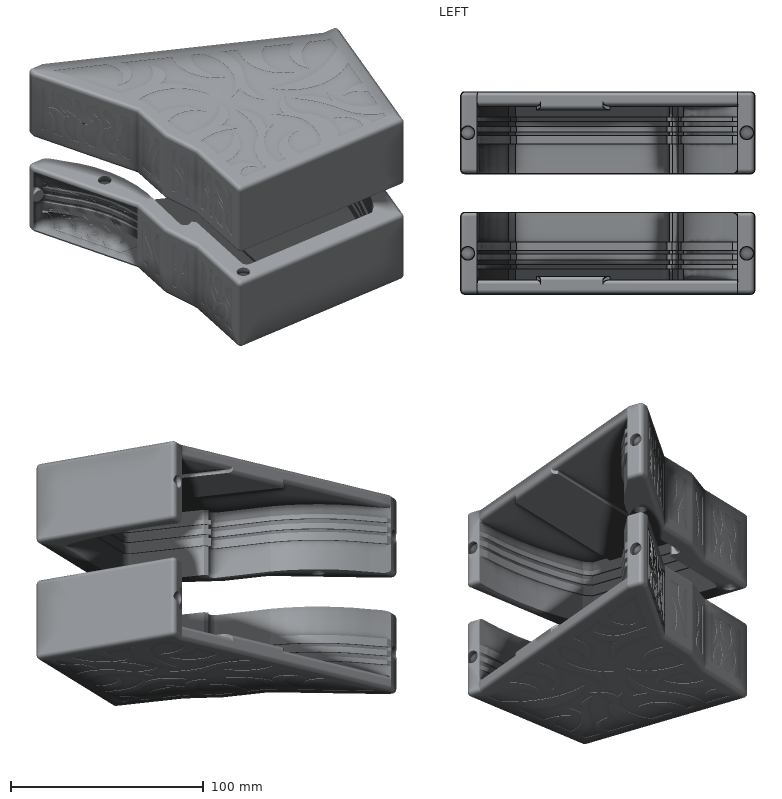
import cadquery as cq
import math


HALF_HEIGHT = 42.5
GAP = 20.0
EDGE_RADIUS = 2.25
FLOOR_THICKNESS = 7.5

WIDTH = 145.85
END_LENGTH = 9.0
BACK_LEFT_X = 60.5
BACK_LEFT_Y = 152.98
BACK_RIGHT_Y = 137.0
FRONT_RIGHT_Y = 33.3
FRONT_MIDDLE_Y = 27.4
TOE_LENGTH = 5.2
SLANT_END_X = 60.6
STEP_START_X = 85.8
STEP_END_X = 106.0

OPEN_FRONT = (0, END_LENGTH)
OPEN_BACK = (BACK_LEFT_X, BACK_LEFT_Y - END_LENGTH)
FRONT_FACE_POINTS = [
    (TOE_LENGTH, 0),
    (SLANT_END_X, FRONT_MIDDLE_Y),
    (STEP_START_X, FRONT_MIDDLE_Y),
    (STEP_END_X, FRONT_RIGHT_Y),
    (WIDTH, FRONT_RIGHT_Y),
]
BACK_POINTS = [(WIDTH, BACK_RIGHT_Y), (BACK_LEFT_X, BACK_LEFT_Y), OPEN_BACK, OPEN_FRONT]

WALL = 11.0
FRONT_WALL = 9.3
CAVITY_CORNER_RADIUS = 3.5
TOE_FLAT_END = (9.0, 16.4)
TOE_CURVE_MIDDLE = (22.9, 27.1)
TOE_CURVE_END = (56.0, FRONT_MIDDLE_Y + FRONT_WALL + 0.3)
SHOULDER_ROUND_START = (86.5, FRONT_MIDDLE_Y + FRONT_WALL - 0.3)
SHOULDER_ROUND_MIDDLE = (88.7, 37.5)
SHOULDER_ROUND_END = (89.5, 39.8)
SHOULDER_HOOK = (88.5, 42.6)
SHOULDER_TOP_X = 90.4
BACK_BEVEL_START_Y = 124.0
BACK_BEVEL_END = (131.0, 127.8)
BACK_CURVE_MIDDLE = (107.6, 136.6)
OPENING_REACH = 15.0

RIDGE_DEPTH = 1.25
RIDGE_SPANS = [(13.1, 15.5), (17.9, 20.9), (22.7, 27.0)]

RIDGE_LEAD_IN = (66.0, 142.4)

STRIP_RISE = 1.85
STRIP_FRONT_Y = 75.2
STRIP_BACK_Y = 113.2
STRIP_FRONT_FLARE = 3.6
STRIP_BACK_FLARE = 2.1

MAGNET_RADIUS = 3.5
MAGNET_DEPTH = 3.5
MAGNET_INSET = 7.5
END_MAGNET_INSET = 4.2
TOE_MAGNET = (34.3, 24.9)

ENGRAVING_DEPTH = 0.2
VINE_OVERLAP = 1.0
FLOOR_MARGIN = 7.6
PANEL_MARGIN = 4.8
PANEL_BOTTOM = 7.5
PANEL_TOP = 35.0


def line(end):
    return (end,)


def arc(middle, end):
    return (middle, end)


FLOOR_VINES = [
    [(75.8, 142.9), arc((86.6, 122.7), (84.8, 94.6)), arc((96.7, 117.2), (89.7, 139.9))],
    [(108.1, 136.6), arc((108.1, 128.2), (111.4, 121.9)), arc((111.6, 129.4), (116.1, 134.9))],
    [(127.5, 132.7), arc((121.1, 121.7), (103, 117.2)), line((111.6, 115)),
     arc((102.2, 108.3), (98.2, 99.3)), arc((107.1, 107.8), (118.1, 114.3)),
     arc((128.5, 120.7), (135.3, 131.4))],
    [(138.2, 122.2), arc((128.5, 117.7), (124.1, 107.5)), arc((129, 115.1), (138.2, 116.5))],
    [(138.2, 100.8), arc((125.5, 104.3), (112.6, 97.3)), arc((104.2, 93.1), (94.2, 97.5)),
     arc((98.7, 90.6), (105.9, 88.4)), line((103, 82.6)), arc((107.6, 87.9), (113.6, 92.8)),
     arc((124.6, 94.6), (138.2, 89.4))],
    [(138.2, 76.5), arc((125, 78.4), (122.3, 86.2)), arc((125, 73), (138.2, 67.5))],
    [(138.2, 62.8), line((130, 62.8)), arc((118.9, 67.1), (111.6, 76)), line((109.6, 80.9)),
     line((111.1, 73)), arc((101.7, 76), (89.7, 69.5)), arc((102.2, 70.5), (114.1, 66.5)),
     arc((124.1, 58.1), (138.2, 55.1))],
    [(135, 41.6), arc((132.2, 46.6), (135.5, 51.4)), arc((128, 47.6), (127.2, 41.6))],
    [(122.3, 41.6), arc((117.1, 53.1), (103.4, 57.6)), arc((112.6, 50.6), (115.1, 41.6))],
    [(100.7, 40.2), arc((99.7, 51.6), (103.7, 62.7)), line((96.2, 55.8)),
     arc((89.7, 64.5), (80.3, 65.5)), arc((89.2, 57.1), (92.7, 45.6)), line((92.7, 37.4))],
    [(77.8, 34.9), arc((75.8, 46.6), (82.1, 55.8)), arc((71.3, 46.6), (69.6, 34.9))],
    [(54.1, 32.7), arc((55.4, 50.6), (70.8, 65.2)), arc((59.4, 60.5), (49.3, 49.8)),
     arc((43.5, 56.6), (33.7, 53.3)), arc((42.3, 49.4), (45.5, 41.6)), line((44.5, 27.7))],
    [(19.1, 34.2), arc((23.6, 37.4), (30.1, 38.4)), arc((35.8, 35.5), (38, 30.7)),
     arc((34, 42.1), (23.4, 42.8))],
    [(34, 67.2), arc((51.4, 67.8), (63.9, 80.9)), arc((52.4, 73.5), (38, 76.5))],
    [(40, 80.9), arc((62.4, 85.6), (80, 73)), line((75.8, 81.4)), arc((84.8, 82.4), (91.2, 87.2)),
     arc((79.3, 85.6), (68.3, 89.2)), arc((57.4, 92.7), (44.5, 90.6))],
    [(48, 99.1), arc((66.4, 98.3), (80.5, 112.6)), arc((68.3, 104.3), (53.9, 112.5))],
    [(60.2, 126), arc((69.8, 117.7), (82.1, 120.4)), arc((70.8, 123.7), (63.7, 134))],
]
SLANT_PANEL_VINES = [
    [(5.8, 7.5), arc((8.1, 11.6), (7.1, 17)), arc((11.3, 12.2), (9.8, 7.5))],
    [(12.4, 7.5), arc((13.8, 14.6), (19.1, 18.8)), arc((15.2, 14), (15.8, 7.5))],
    [(19.1, 7.5), arc((23.1, 11.6), (22.4, 15.8)), arc((25.2, 11.6), (23.1, 7.5))],
    [(28.4, 7.5), arc((29.7, 14.6), (35.7, 18.8)), arc((31.7, 12.8), (34.4, 7.5))],
    [(38.4, 7.5), arc((40.4, 13.7), (45.7, 15.8)), arc((42.4, 12.8), (42.4, 7.5))],
    [(44.4, 7.5), arc((49.1, 15.8), (45.7, 25.4)), arc((53.4, 15.2), (49.7, 7.5))],
    [(7.1, 35), arc((11.1, 27.8), (9.1, 21.8)), arc((13.1, 27.8), (11.8, 35))],
    [(17.1, 35), arc((15.3, 30.1), (15.1, 25.4)), arc((13.8, 21.5), (9.1, 18.8)),
     arc((14.4, 18.8), (17.7, 21.8)), line((21.1, 20)), arc((18.3, 27.2), (22.4, 35))],
    [(27.1, 35), arc((25.5, 30.1), (25.7, 24.2)), arc((24.4, 20.3), (19.7, 17)),
     arc((25.1, 18.8), (29.4, 22.4)), line((33.1, 20.6)), arc((28.4, 27.8), (34.4, 35))],
    [(37.1, 35), arc((37.3, 28.3), (39.1, 23.6)), arc((38.7, 17.6), (35.7, 13.4)),
     arc((40.1, 16.1), (41.7, 20.6)), line((45.7, 18.2)), arc((41.1, 27.2), (45.1, 35))],
    [(49.7, 35), arc((47, 28.3), (51.1, 23.6)), arc((49.7, 28.9), (55.7, 35))],
]
NARROW_PANEL_VINES = [
    [(9, 7.5), arc((11.1, 15.2), (6.7, 26)), arc((14.4, 15.8), (16.8, 7.5))],
    [(12.6, 35), arc((13.2, 25.4), (18.6, 17)), arc((15.8, 26.6), (18.6, 35))],
]
STEP_PANEL_VINES = [
    [(8, 7.5), arc((8.3, 15.2), (12.7, 19.4)), arc((10.3, 13.4), (13.9, 7.5))],
    [(5.9, 35), arc((11, 26.6), (6.5, 18.8)), arc((12.7, 25.1), (13.9, 35))],
]
WIDE_PANEL_VINES = [
    [(7.2, 7.5), arc((8.4, 14.6), (12, 20)), arc((9.7, 12.2), (11.4, 7.5))],
    [(13.2, 7.5), arc((15.6, 15.2), (13.8, 21.8)), line((18.3, 16.4)), arc((21.5, 18.4), (24.5, 19.4)),
     arc((19.1, 14), (17.4, 7.5))],
    [(20.3, 7.5), arc((26.5, 12.2), (26.3, 21.2)), arc((29.5, 14), (26.3, 7.5))],
    [(7.2, 35), arc((10.2, 27.2), (7.8, 19.4)), arc((12, 25.7), (12.6, 35))],
    [(15, 35), arc((14.3, 28.3), (19.7, 23)), arc((17.1, 28.9), (19.7, 35))],
    [(24.5, 35), arc((23.4, 31.3), (23.9, 27.8)), arc((23.3, 23.9), (20.3, 20.6)),
     arc((23.6, 22.1), (25.7, 25.4)), line((30.5, 22.4)), arc((27.4, 28.3), (30.5, 35))],
]


def outline():
    return cq.Workplane("XY").polyline([(0, 0), *FRONT_FACE_POINTS, *BACK_POINTS]).close()


def outer_block():
    block = outline().extrude(HALF_HEIGHT)
    for corner in [(0, 0), (WIDTH, FRONT_RIGHT_Y), (WIDTH, BACK_RIGHT_Y), (BACK_LEFT_X, BACK_LEFT_Y)]:
        nearest = cq.selectors.NearestToPointSelector((*corner, HALF_HEIGHT / 2))
        block = block.edges("|Z").edges(nearest).fillet(EDGE_RADIUS)
    return block.faces("<Z or >Z").edges().fillet(EDGE_RADIUS)


def cavity_outline():
    right_x = WIDTH - WALL
    front_y = FRONT_RIGHT_Y + WALL
    return (
        cq.Workplane("XY")
        .moveTo(*OPEN_FRONT)
        .lineTo(*TOE_FLAT_END)
        .threePointArc(TOE_CURVE_MIDDLE, TOE_CURVE_END)
        .lineTo(*SHOULDER_ROUND_START)
        .threePointArc(SHOULDER_ROUND_MIDDLE, SHOULDER_ROUND_END)
        .lineTo(*SHOULDER_HOOK)
        .lineTo(SHOULDER_TOP_X, front_y)
        .lineTo(right_x - CAVITY_CORNER_RADIUS, front_y)
        .radiusArc((right_x, front_y + CAVITY_CORNER_RADIUS), -CAVITY_CORNER_RADIUS)
        .lineTo(right_x, BACK_BEVEL_START_Y)
        .lineTo(*BACK_BEVEL_END)
        .threePointArc(BACK_CURVE_MIDDLE, OPEN_BACK)
        .lineTo(OPEN_BACK[0] - OPENING_REACH, OPEN_BACK[1])
        .lineTo(-OPENING_REACH, OPEN_BACK[1])
        .lineTo(-OPENING_REACH, OPEN_FRONT[1])
        .close()
    )


def prism(sketch, bottom, top):
    return sketch.extrude(top - bottom).translate((0, 0, bottom))


def ridge_lead_in():
    """Wedge that slopes the back end of a ridge down to the end face."""
    outside = (BACK_LEFT_X - OPENING_REACH, RIDGE_LEAD_IN[1])
    return cq.Workplane("XY").polyline([OPEN_BACK, RIDGE_LEAD_IN, outside]).close()


def cavity():
    whole = prism(cavity_outline(), FLOOR_THICKNESS, HALF_HEIGHT)
    for bottom, top in RIDGE_SPANS:
        whole = whole.cut(prism(cavity_outline(), bottom, top))
        ridge_outline = cavity_outline().offset2D(-RIDGE_DEPTH, "intersection")
        whole = whole.union(prism(ridge_outline, bottom, top))
        whole = whole.union(prism(ridge_lead_in(), bottom, top))
    return whole


def lip_rounding(height):
    """Waste above the rounded lip of a floor of the given height, along the open side."""
    length = math.dist(OPEN_FRONT, OPEN_BACK)
    along = ((OPEN_BACK[0] - OPEN_FRONT[0]) / length, (OPEN_BACK[1] - OPEN_FRONT[1]) / length, 0)
    inward = (along[1], -along[0], 0)
    plane = cq.Plane(origin=(*OPEN_FRONT, height), xDir=inward, normal=(-along[0], -along[1], 0))
    return (
        cq.Workplane(plane)
        .moveTo(0, -EDGE_RADIUS)
        .radiusArc((EDGE_RADIUS, 0), EDGE_RADIUS)
        .lineTo(0, 0)
        .close()
        .extrude(-length)
    )


def raised_strip():
    top = FLOOR_THICKNESS + STRIP_RISE
    slope = (OPEN_BACK[1] - OPEN_FRONT[1]) / (OPEN_BACK[0] - OPEN_FRONT[0])

    def on_open_side(y, inset=0.0):
        return ((y - END_LENGTH) / slope + inset, y)

    lip_width = EDGE_RADIUS / math.sin(math.atan(slope))
    strip = (
        cq.Workplane("XY")
        .moveTo(*on_open_side(STRIP_FRONT_Y + STRIP_FRONT_FLARE))
        .lineTo(*on_open_side(STRIP_FRONT_Y, lip_width))
        .lineTo(WIDTH - WALL, STRIP_FRONT_Y)
        .lineTo(WIDTH - WALL, STRIP_BACK_Y)
        .lineTo(*on_open_side(STRIP_BACK_Y, lip_width))
        .lineTo(*on_open_side(STRIP_BACK_Y - STRIP_BACK_FLARE))
        .close()
    )
    return prism(strip, EDGE_RADIUS, top).cut(lip_rounding(top))


def magnet_pockets():
    rim_spots = [TOE_MAGNET, (WIDTH - MAGNET_INSET, FRONT_RIGHT_Y + MAGNET_INSET)]
    end_spots = [(0, END_MAGNET_INSET), (BACK_LEFT_X, BACK_LEFT_Y - END_MAGNET_INSET)]
    magnet = cq.Workplane("XY").circle(MAGNET_RADIUS).extrude(MAGNET_DEPTH)
    pockets = [magnet.translate((x, y, HALF_HEIGHT - MAGNET_DEPTH)) for x, y in rim_spots]
    lying = magnet.rotate((0, 0, 0), (0, 1, 0), 90)
    pockets += [lying.translate((x, y, HALF_HEIGHT / 2)) for x, y in end_spots]
    return pockets


def beyond_border(start, end, tip):
    """The base of a vine, from end back to start, moved outward across the border."""
    length = math.dist(start, end)
    normal = ((start[1] - end[1]) / length, (end[0] - start[0]) / length)
    toward_tip = normal[0] * (tip[0] - start[0]) + normal[1] * (tip[1] - start[1])
    reach = -math.copysign(VINE_OVERLAP, toward_tip)
    return [(x + normal[0] * reach, y + normal[1] * reach) for x, y in (end, start)]


def engraving(workplane, border, vines, depth):
    """Shallow field inside a border, less the vines that grow in from it."""
    field = workplane.polyline(border).close().extrude(depth)
    for start, *moves in vines:
        sketch = workplane.moveTo(*start)
        for move in moves:
            if len(move) == 1:
                sketch = sketch.lineTo(*move[0])
            else:
                sketch = sketch.threePointArc(*move)
        for corner in beyond_border(start, moves[-1][-1], moves[0][-1]):
            sketch = sketch.lineTo(*corner)
        field = field.cut(sketch.close().extrude(depth))
    return field


def floor_engraving():
    border = (
        cq.Workplane("XY")
        .polyline([*FRONT_FACE_POINTS, *BACK_POINTS])
        .close()
        .offset2D(-FLOOR_MARGIN, "intersection")
    )
    corners = [(v.X, v.Y) for v in border.vals()[0].Vertices()]
    return engraving(cq.Workplane("XY"), corners, FLOOR_VINES, ENGRAVING_DEPTH)


def front_engravings():
    all_vines = [SLANT_PANEL_VINES, NARROW_PANEL_VINES, STEP_PANEL_VINES, WIDE_PANEL_VINES]
    engravings = []
    for start, end, vines in zip(FRONT_FACE_POINTS, FRONT_FACE_POINTS[1:], all_vines):
        length = math.dist(start, end)
        along = ((end[0] - start[0]) / length, (end[1] - start[1]) / length, 0)
        plane = cq.Plane(origin=(*start, 0), xDir=along, normal=(along[1], -along[0], 0))
        left = PANEL_MARGIN
        corner = EDGE_RADIUS if end == FRONT_FACE_POINTS[-1] else 0
        right = length - PANEL_MARGIN - corner
        border = [(left, PANEL_BOTTOM), (right, PANEL_BOTTOM), (right, PANEL_TOP), (left, PANEL_TOP)]
        engravings.append(engraving(cq.Workplane(plane), border, vines, -ENGRAVING_DEPTH))
    return engravings


def half():
    body = outer_block().cut(cavity()).cut(lip_rounding(FLOOR_THICKNESS))
    body = body.union(raised_strip())
    for cutter in [*magnet_pockets(), floor_engraving(), *front_engravings()]:
        body = body.cut(cutter)
    return body


lower_half = half()
upper_half = lower_half.mirror("XY").translate((0, 0, 2 * HALF_HEIGHT + GAP))

result = cq.Compound.makeCompound([lower_half.val(), upper_half.val()])